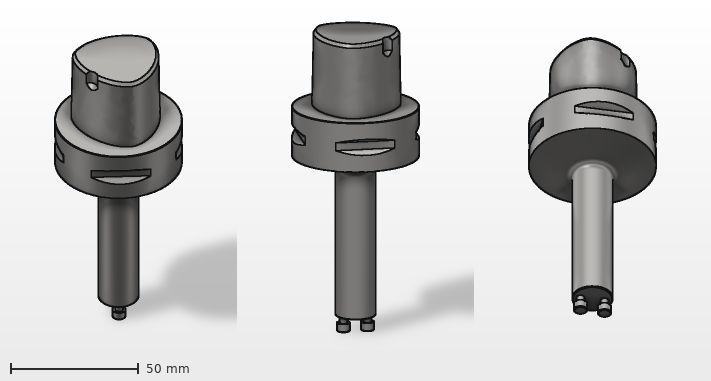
import cadquery as cq
import math

total_length = 121.4
shank_height = 30.0
flange_diameter = 50.0
flange_height = 20.0
flange_chamfer = 0.2

base_radius = 17.5
lobe_height = 1.4
taper_per_side = 1 / 50
rim_height = 1.5
rim_inset = 1.1
profile_points = 48

notch_radius = 3.6
notch_axis_y = -17.4
notch_straight_depth = 5.5

groove_count = 4
groove_floor_height = 3.2
groove_depth = 2.9
groove_flank_angle = 30.0

bar_diameter = 16.0
cone_angle = 15.0
cone_blend_radius = 3.0
bar_chamfer = 0.4

pin_neck_diameter = 3.2
pin_head_diameter = 5.2
pin_neck_length = 3.0
pin_head_length = 3.4
pin_chamfer = 0.4
pin_offset = 3.4

flange_radius = flange_diameter / 2
bar_radius = bar_diameter / 2
pin_bottom_z = shank_height - total_length
head_top_z = pin_bottom_z + pin_head_length
bar_bottom_z = head_top_z + pin_neck_length


def lobed_point(radius, angle):
    """Point whose tangent line lies at radius - lobe_height * sin(3 * angle) from the axis."""
    reach = radius - lobe_height * math.sin(3 * angle)
    slope = -3 * lobe_height * math.cos(3 * angle)
    x = reach * math.cos(angle) - slope * math.sin(angle)
    y = reach * math.sin(angle) + slope * math.cos(angle)
    return x, y


def lobed_wire(radius, z):
    angles = [2 * math.pi * i / profile_points for i in range(profile_points)]
    points = [lobed_point(radius, angle) for angle in angles]
    return cq.Workplane("XY", origin=(0, 0, z)).spline(points, periodic=True).close().val()


def lobed_frustum(lower_radius, lower_z, upper_radius, upper_z):
    wires = [lobed_wire(lower_radius, lower_z), lobed_wire(upper_radius, upper_z)]
    return cq.Workplane(cq.Solid.makeLoft(wires, True))


def polygon_shank():
    rim_z = shank_height - rim_height
    rim_radius = base_radius - taper_per_side * rim_z
    taper = lobed_frustum(base_radius, 0, rim_radius, rim_z)
    rim = lobed_frustum(rim_radius, rim_z, rim_radius - rim_inset, shank_height)
    return taper.union(rim)


def notch_cutter():
    cone_top_z = shank_height - notch_straight_depth
    return (
        cq.Workplane("XZ")
        .moveTo(0, shank_height)
        .lineTo(notch_radius, shank_height)
        .lineTo(notch_radius, cone_top_z)
        .lineTo(0, cone_top_z - notch_radius)
        .close()
        .revolve(360, (0, 0, 0), (0, 1, 0))
        .translate((0, notch_axis_y, 0))
    )


def flange_and_bar():
    cone_drop = (flange_radius - bar_radius) * math.tan(math.radians(cone_angle))
    cone_end_z = -flange_height - cone_drop
    turn = math.radians(90 - cone_angle)
    tangent_length = cone_blend_radius * math.tan(turn / 2)
    blend_center_r = bar_radius + cone_blend_radius
    blend_end_z = cone_end_z - tangent_length
    arc_start = (
        blend_center_r - cone_blend_radius * math.cos(turn),
        blend_end_z + cone_blend_radius * math.sin(turn),
    )
    arc_middle = (
        blend_center_r - cone_blend_radius * math.cos(turn / 2),
        blend_end_z + cone_blend_radius * math.sin(turn / 2),
    )
    return (
        cq.Workplane("XZ")
        .lineTo(flange_radius - flange_chamfer, 0)
        .lineTo(flange_radius, -flange_chamfer)
        .lineTo(flange_radius, -flange_height)
        .lineTo(*arc_start)
        .threePointArc(arc_middle, (bar_radius, blend_end_z))
        .lineTo(bar_radius, bar_bottom_z + bar_chamfer)
        .lineTo(bar_radius - bar_chamfer, bar_bottom_z)
        .lineTo(0, bar_bottom_z)
        .close()
        .revolve(360, (0, 0, 0), (0, 1, 0))
    )


def groove_cutter():
    """Trapezoidal groove across the +X side of the flange, halfway up it."""
    middle_z = -flange_height / 2
    floor_half = groove_floor_height / 2
    mouth_half = floor_half + groove_depth * math.tan(math.radians(groove_flank_angle))
    floor_x = flange_radius - groove_depth
    return (
        cq.Workplane("XZ")
        .moveTo(floor_x, middle_z - floor_half)
        .lineTo(flange_radius, middle_z - mouth_half)
        .lineTo(flange_radius, middle_z + mouth_half)
        .lineTo(floor_x, middle_z + floor_half)
        .close()
        .extrude(flange_radius, both=True)
    )


def headed_pin(x, y):
    neck = (
        cq.Workplane("XY", origin=(x, y, head_top_z))
        .circle(pin_neck_diameter / 2)
        .extrude(pin_neck_length)
    )
    head = (
        cq.Workplane("XY", origin=(x, y, pin_bottom_z))
        .circle(pin_head_diameter / 2)
        .extrude(pin_head_length)
        .faces("<Z")
        .chamfer(pin_chamfer)
    )
    return neck.union(head)


result = flange_and_bar()
for i in range(groove_count):
    groove_angle = (i + 0.5) * 360 / groove_count
    result = result.cut(groove_cutter().rotate((0, 0, 0), (0, 0, 1), groove_angle))

result = result.union(polygon_shank().cut(notch_cutter()))

for side in (-1, 1):
    result = result.union(headed_pin(side * pin_offset, -side * pin_offset))